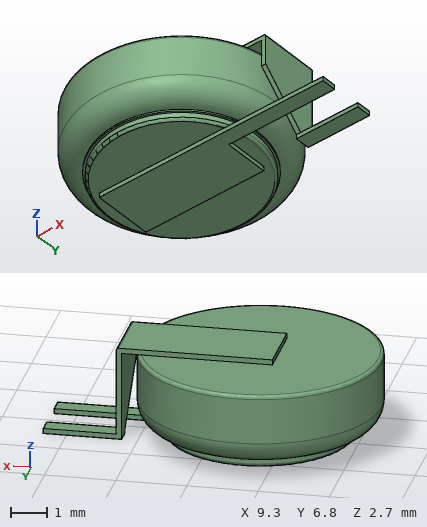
import cadquery as cq

overall_length = 9.3
overall_height = 2.7
strip_thickness = 0.15
strip_width = 2.0
leg_width = 0.5

can_diameter = 6.8
seal_diameter = 5.44
cap_diameter = 5.3
can_bottom = 0.46
seal_bottom = 0.4
can_top_fillet = 0.1
cap_fillet = 0.08

upper_start = -0.53
upper_end = 3.85
bend_radius = 0.065
lower_start = -2.11

can_radius = can_diameter / 2
seal_radius = seal_diameter / 2
can_bottom_fillet = can_radius - seal_radius
can_top = overall_height - strip_thickness
leg_end = overall_length - can_radius
half_width = strip_width / 2
leg_inner_y = half_width - leg_width
lower_pad_end = -lower_start


def disc(diameter, bottom, top):
    """Upright cylinder on the cell axis."""
    return cq.Workplane("XY").workplane(offset=bottom).circle(diameter / 2).extrude(top - bottom)


def box_between(x_range, y_range, z_range):
    """Axis-aligned box given its limits along each axis."""
    lows, highs = zip(x_range, y_range, z_range)
    sizes = [high - low for low, high in zip(lows, highs)]
    return cq.Workplane("XY").box(*sizes, centered=False).translate(lows)


def button_cell():
    """Rounded can standing on a thin seal ring and a smaller contact cap."""
    can = disc(can_diameter, can_bottom, can_top)
    can = can.faces(">Z").edges().fillet(can_top_fillet)
    can = can.faces("<Z").edges().fillet(can_bottom_fillet)
    seal = disc(seal_diameter, seal_bottom, can_bottom + can_top_fillet)
    cap = disc(cap_diameter, strip_thickness, can_bottom + can_top_fillet)
    cap = cap.faces("<Z").edges().fillet(cap_fillet)
    return can.union(seal).union(cap)


def upper_terminal():
    """Strip over the can, bent down and tapered at 45 degrees into the +Y leg."""
    wall_start = upper_end - strip_thickness
    strip = box_between((upper_start, upper_end), (-half_width, half_width), (can_top, overall_height))
    taper_top = strip_thickness + half_width + leg_inner_y
    wall = (
        cq.Workplane("YZ", origin=(wall_start, 0, 0))
        .moveTo(-half_width, overall_height)
        .lineTo(-half_width, taper_top)
        .lineTo(leg_inner_y, strip_thickness)
        .lineTo(leg_inner_y, 0)
        .lineTo(half_width, 0)
        .lineTo(half_width, overall_height)
        .close()
        .extrude(strip_thickness)
    )
    bent = strip.union(wall).edges("|Y and >X and >Z").fillet(bend_radius)
    leg = box_between((wall_start, leg_end), (leg_inner_y, half_width), (0, strip_thickness))
    return bent.union(leg)


def lower_terminal():
    """Full-width pad under the cap, continued by the -Y leg."""
    pad = box_between((lower_start, lower_pad_end), (-half_width, half_width), (0, strip_thickness))
    leg = box_between((lower_start, leg_end), (-half_width, -leg_inner_y), (0, strip_thickness))
    return pad.union(leg)


result = button_cell().union(upper_terminal()).union(lower_terminal())